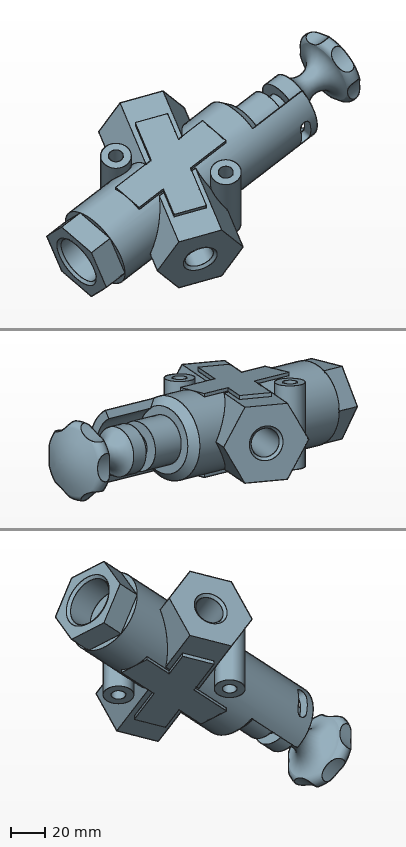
import cadquery as cq
import math

INLINE_LENGTH = 106.0
INLINE_HEX_FLATS = 46.0
PORT_DIAMETER = 17.48
CORE_DIAMETER = 18.0
BORE_CHAMFER = 1.75

BRANCH_TILT = 24.5
BARREL_DIAMETER = 50.8
BARREL_RADIUS = BARREL_DIAMETER / 2
BARREL_TOP = 59.0
BARREL_CHAMFER = 5.0
BARREL_BOTTOM = -61.0

END_HEX_LENGTH = 15.0
END_BORE_DIAMETER = 30.0
END_BORE_DEPTH = 19.0

YOKE_INNER_RADIUS = 20.0
YOKE_TOP = 94.0
YOKE_SPAN = 120.0
SLOT_CENTRE = 85.0
SLOT_WIDTH = 7.5
SLOT_LENGTH = 19.0

GLAND_RADIUS = 15.0
GLAND_TOP = 80.3
NECK_RADIUS = 8.0
COLLAR_BOTTOM = 88.0
COLLAR_TOP = 98.2
WAIST_RADIUS = 7.0
WAIST_HEIGHT = 110.4
HANDLE_RADIUS = 23.8
HANDLE_EDGE_RADIUS = 20.0
HANDLE_BOTTOM = 123.3
HANDLE_RIM_TOP = 133.1
HANDLE_TOP = 137.2
GRIP_COUNT = 6
GRIP_RADIUS = 18.0
GRIP_DEPTH = 3.7

CROSS_LENGTH = 70.0
CROSS_WIDTH = 20.0

BOSS_DIAMETER = 18.0
BOSS_HOLE_DIAMETER = 8.6
BOSS_X = 16.0
BOSS_Y = 28.5


def hexagon_across(flats):
    """Corner-to-corner size of a hexagon with the given size across flats."""
    return flats / math.cos(math.radians(30))


def turned(profile, angle=360):
    """Revolve a profile of radius (x) and height (y) about the Y axis."""
    return profile.close().revolve(angle, (0, 0), (0, 1))


def on_branch(shape):
    """Swing a shape built along +Y onto the tilted branch axis."""
    return shape.rotate((0, 0, 0), (0, 0, 1), BRANCH_TILT)


def blind_bore(diameter, depth):
    """Cutter for a bore with a chamfered mouth at y = 0, running towards +Y."""
    radius = diameter / 2
    return turned(
        cq.Workplane("XY")
        .lineTo(radius + BORE_CHAMFER, 0)
        .lineTo(radius, BORE_CHAMFER)
        .lineTo(radius, depth)
        .lineTo(0, depth)
    )


def inline_body():
    return (
        cq.Workplane("YZ")
        .polygon(6, hexagon_across(INLINE_HEX_FLATS))
        .extrude(INLINE_LENGTH / 2, both=True)
    )


def barrel():
    tube = turned(
        cq.Workplane("XY")
        .moveTo(0, BARREL_BOTTOM)
        .lineTo(BARREL_RADIUS, BARREL_BOTTOM)
        .lineTo(BARREL_RADIUS, BARREL_TOP - BARREL_CHAMFER)
        .lineTo(BARREL_RADIUS - BARREL_CHAMFER, BARREL_TOP)
        .lineTo(0, BARREL_TOP)
    )
    end_hex = (
        cq.Workplane("XZ", origin=(0, BARREL_BOTTOM, 0))
        .polygon(6, BARREL_DIAMETER)
        .extrude(END_HEX_LENGTH)
    )
    return tube.union(end_hex)


def yoke():
    foot = BARREL_TOP - BARREL_CHAMFER
    wall = turned(
        cq.Workplane("XY")
        .moveTo(YOKE_INNER_RADIUS, foot)
        .lineTo(BARREL_RADIUS, foot)
        .lineTo(BARREL_RADIUS, YOKE_TOP)
        .lineTo(YOKE_INNER_RADIUS, YOKE_TOP),
        YOKE_SPAN,
    ).rotate((0, 0, 0), (0, 1, 0), -YOKE_SPAN / 2)
    slot = (
        cq.Workplane("YZ")
        .center(SLOT_CENTRE, 0)
        .slot2D(SLOT_LENGTH, SLOT_WIDTH, 90)
        .extrude(BARREL_DIAMETER)
    )
    return wall.cut(slot)


def spindle():
    waist_middle = (WAIST_RADIUS, WAIST_HEIGHT)
    rim_middle = (HANDLE_RADIUS, (HANDLE_BOTTOM + HANDLE_RIM_TOP) / 2)
    dome_rise = HANDLE_TOP - HANDLE_RIM_TOP
    dome_radius = (HANDLE_EDGE_RADIUS**2 + dome_rise**2) / (2 * dome_rise)
    dome_half_angle = math.asin(HANDLE_EDGE_RADIUS / dome_radius) / 2
    dome_middle = (
        dome_radius * math.sin(dome_half_angle),
        HANDLE_TOP - dome_radius * (1 - math.cos(dome_half_angle)),
    )
    body = turned(
        cq.Workplane("XY")
        .moveTo(0, BARREL_TOP)
        .lineTo(GLAND_RADIUS, BARREL_TOP)
        .lineTo(GLAND_RADIUS, GLAND_TOP)
        .lineTo(NECK_RADIUS, GLAND_TOP)
        .lineTo(NECK_RADIUS, COLLAR_BOTTOM)
        .lineTo(GLAND_RADIUS, COLLAR_BOTTOM)
        .lineTo(GLAND_RADIUS, COLLAR_TOP)
        .threePointArc(waist_middle, (HANDLE_EDGE_RADIUS, HANDLE_BOTTOM))
        .threePointArc(rim_middle, (HANDLE_EDGE_RADIUS, HANDLE_RIM_TOP))
        .threePointArc(dome_middle, (0, HANDLE_TOP))
    )
    grips = (
        cq.Workplane("XZ", origin=(0, HANDLE_BOTTOM, 0))
        .polarArray(HANDLE_RADIUS - GRIP_DEPTH + GRIP_RADIUS, 0, 360, GRIP_COUNT)
        .circle(GRIP_RADIUS)
        .extrude(HANDLE_BOTTOM - HANDLE_TOP)
    )
    return body.cut(grips)


def cross():
    bar = cq.Workplane("XY").box(CROSS_LENGTH, CROSS_WIDTH, BARREL_DIAMETER)
    return bar.union(on_branch(bar.rotate((0, 0, 0), (0, 0, 1), 90)))


def boss_cylinders(diameter):
    return (
        cq.Workplane("XY", origin=(0, 0, -BARREL_RADIUS))
        .pushPoints([(BOSS_X, BOSS_Y), (-BOSS_X, -BOSS_Y)])
        .circle(diameter / 2)
        .extrude(BARREL_DIAMETER)
    )


def ports():
    """Cutters for both inline ports, each ending on the round core."""
    core = on_branch(
        cq.Workplane("XZ").circle(CORE_DIAMETER / 2).extrude(BARREL_DIAMETER, both=True)
    )
    left = (
        blind_bore(PORT_DIAMETER, INLINE_LENGTH / 2)
        .rotate((0, 0, 0), (0, 0, 1), -90)
        .translate((-INLINE_LENGTH / 2, 0, 0))
    )
    left = left.cut(core)
    right = left.rotate((0, 0, 0), (0, 0, 1), 180)
    return left.union(right)


def end_bore():
    mouth = BARREL_BOTTOM - END_HEX_LENGTH
    return on_branch(blind_bore(END_BORE_DIAMETER, END_BORE_DEPTH).translate((0, mouth, 0)))


branch = on_branch(barrel().union(yoke()).union(spindle()))
solid_body = inline_body().union(branch).union(cross()).union(boss_cylinders(BOSS_DIAMETER))
result = solid_body.cut(ports()).cut(end_bore()).cut(boss_cylinders(BOSS_HOLE_DIAMETER))